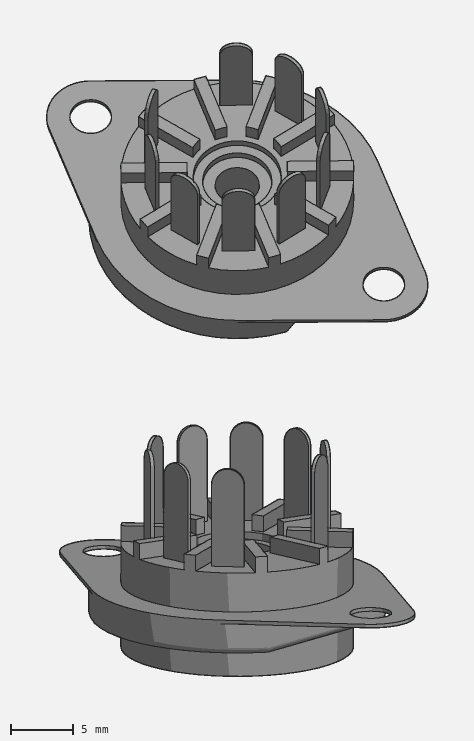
import cadquery as cq
import math

BODY_DIAMETER = 18.5
BODY_HEIGHT = 8.5

PLATE_DIAMETER = 23.6
PLATE_THICKNESS = 0.3
PLATE_TOP = 5.3
LOBE_RADIUS = 3.5
SCREW_OFFSET = 14.25
SCREW_HOLE_DIAMETER = 3.3

COLLAR_BOTTOM = 2.5
COLLAR_WIDTH = 19.3
COLLAR_CORNER_RADIUS = 0.5
COLLAR_BOTTOM_RADIUS = 0.5

POSITIONS = 10
PITCH_ANGLE = 360 / POSITIONS
RIB_WIDTH = 1.0
RIB_HEIGHT = 1.3
RIB_INNER_DIAMETER = 8.0
PIN_WIDTH = 2.6
PIN_THICKNESS = 0.3
PIN_CIRCLE_RADIUS = 7.15
PIN_TOP = 16.5
EMPTY_POSITION = 4

RECESS_DIAMETER = 7.0
RECESS_DEPTH = 0.6
INNER_RECESS_DIAMETER = 5.5
INNER_RECESS_DEPTH = 1.2
CENTRE_HOLE_DIAMETER = 3.5

PLATE_BOTTOM = PLATE_TOP - PLATE_THICKNESS


def cylinder(diameter, bottom, top):
    return cq.Workplane("XY").workplane(offset=bottom).circle(diameter / 2).extrude(top - bottom)


def make_plate():
    plate_radius = PLATE_DIAMETER / 2
    normal_x = (plate_radius - LOBE_RADIUS) / SCREW_OFFSET
    normal_y = math.sqrt(1 - normal_x**2)
    middle_x = plate_radius * normal_x
    middle_y = plate_radius * normal_y
    lobe_x = SCREW_OFFSET + LOBE_RADIUS * normal_x
    lobe_y = LOBE_RADIUS * normal_y
    lobe_tip = SCREW_OFFSET + LOBE_RADIUS
    return (
        cq.Workplane("XY")
        .workplane(offset=PLATE_BOTTOM)
        .moveTo(-middle_x, middle_y)
        .threePointArc((0, plate_radius), (middle_x, middle_y))
        .lineTo(lobe_x, lobe_y)
        .threePointArc((lobe_tip, 0), (lobe_x, -lobe_y))
        .lineTo(middle_x, -middle_y)
        .threePointArc((0, -plate_radius), (-middle_x, -middle_y))
        .lineTo(-lobe_x, -lobe_y)
        .threePointArc((-lobe_tip, 0), (-lobe_x, lobe_y))
        .close()
        .pushPoints([(-SCREW_OFFSET, 0), (SCREW_OFFSET, 0)])
        .circle(SCREW_HOLE_DIAMETER / 2)
        .extrude(PLATE_THICKNESS)
    )


def make_collar():
    height = PLATE_TOP - COLLAR_BOTTOM
    slab = (
        cq.Workplane("XY")
        .workplane(offset=COLLAR_BOTTOM)
        .rect(COLLAR_WIDTH, PLATE_DIAMETER)
        .extrude(height)
    )
    collar = cylinder(PLATE_DIAMETER, COLLAR_BOTTOM, PLATE_TOP).intersect(slab)
    collar = collar.edges("|Z").fillet(COLLAR_CORNER_RADIUS)
    return collar.faces("<Z").edges().fillet(COLLAR_BOTTOM_RADIUS)


def make_ribs():
    rib_top = BODY_HEIGHT + RIB_HEIGHT
    ring = cylinder(BODY_DIAMETER, BODY_HEIGHT, rib_top)
    ring = ring.cut(cylinder(RIB_INNER_DIAMETER, BODY_HEIGHT, rib_top))
    bars = cq.Workplane("XY")
    for position in range(POSITIONS // 2):
        bar = (
            cq.Workplane("XY")
            .workplane(offset=BODY_HEIGHT)
            .rect(BODY_DIAMETER, RIB_WIDTH)
            .extrude(RIB_HEIGHT)
            .rotate((0, 0, 0), (0, 0, 1), position * PITCH_ANGLE)
        )
        bars = bars.union(bar)
    return ring.intersect(bars)


def make_pin(angle):
    half_width = PIN_WIDTH / 2
    shoulder = PIN_TOP - half_width
    root = BODY_HEIGHT / 2
    return (
        cq.Workplane("YZ")
        .workplane(offset=PIN_CIRCLE_RADIUS - PIN_THICKNESS / 2)
        .moveTo(-half_width, root)
        .lineTo(-half_width, shoulder)
        .threePointArc((0, PIN_TOP), (half_width, shoulder))
        .lineTo(half_width, root)
        .close()
        .extrude(PIN_THICKNESS)
        .rotate((0, 0, 0), (0, 0, 1), angle)
    )


def make_centre_cut():
    hole = cylinder(CENTRE_HOLE_DIAMETER, 0, BODY_HEIGHT)
    recess = cylinder(RECESS_DIAMETER, BODY_HEIGHT - RECESS_DEPTH, BODY_HEIGHT)
    inner_recess = cylinder(INNER_RECESS_DIAMETER, BODY_HEIGHT - INNER_RECESS_DEPTH, BODY_HEIGHT)
    return hole.union(recess).union(inner_recess)


socket = cylinder(BODY_DIAMETER, 0, BODY_HEIGHT)
socket = socket.union(make_collar()).union(make_plate()).union(make_ribs())
for position in range(POSITIONS):
    if position != EMPTY_POSITION:
        socket = socket.union(make_pin((position + 0.5) * PITCH_ANGLE))

result = socket.cut(make_centre_cut())